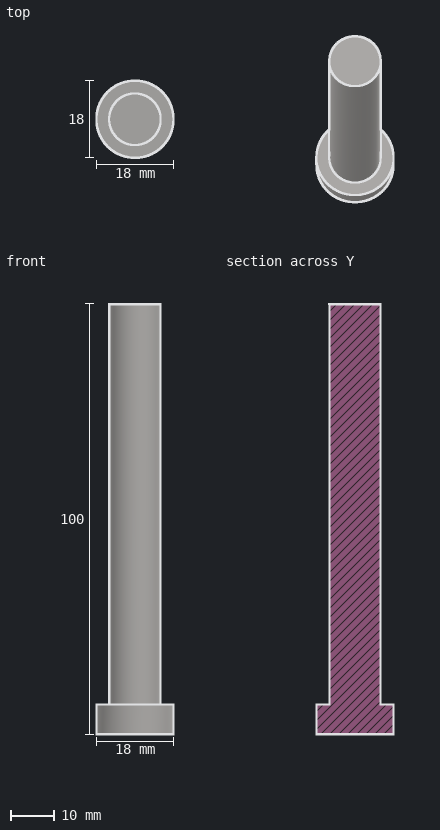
import cadquery as cq

total_length = 100.0
head_diameter = 18.0
head_height = 7.0
shank_diameter = 12.0

head = cq.Workplane("XY").circle(head_diameter / 2).extrude(head_height)
shank = cq.Workplane("XY").circle(shank_diameter / 2).extrude(total_length)

result = head.union(shank)